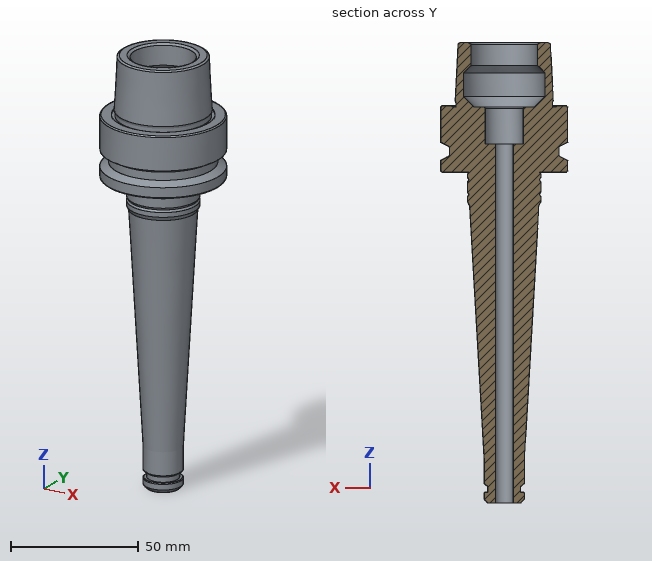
import cadquery as cq

total_height = 181.0

tip_diameter = 16.0
tip_groove_diameter = 13.0
tip_end_chamfer_height = 1.0
tip_ring_shoulder_z = 1.6
tip_ring_top_z = 4.3
tip_ring_bevel = 0.4
tip_groove_top_z = 6.5
tip_shoulder_z = 7.6
shank_start_z = 17.4

shank_top_diameter = 27.3
shank_top_z = 116.7
collar_diameter = 29.0
collar_groove_diameter = 27.9
collar_bottom_z = 118.4
collar_groove_centers = (121.3, 127.0)
collar_groove_width = 1.8
collar_top_bevel_z = 129.2

flange_diameter = 50.0
flange_bottom_z = 130.0
flange_top_z = 156.2
flange_chamfer = 0.5
gripper_groove_diameter = 43.0
gripper_bottom_z = 134.7
gripper_top_z = 141.7
gripper_flank_height = 1.8
face_recess_diameter = 40.7
face_recess_depth = 0.5

taper_top_diameter = 36.4
taper_ratio = 0.1
taper_bottom_z = 158.2
taper_root_diameter = 38.0
taper_root_z = 157.1
taper_rim_chamfer_height = 0.5
taper_rim_chamfer_width = 0.9

mouth_diameter = 28.5
bore_diameter = 26.0
mouth_chamfer_height = 0.7
bore_lip_depth = 9.0
undercut_diameter = 32.0
cavity_floor_diameter = 23.9
cavity_depth = 25.3
socket_mouth_diameter = 16.0
socket_diameter = 14.8
socket_depth = 14.5
through_diameter = 6.9


def revolve_profile(points):
    """Revolve a closed outline of (diameter, z) points about the Z axis."""
    outline = [(diameter / 2, z) for diameter, z in points]
    return cq.Workplane("XZ").polyline(outline).close().revolve(360, (0, 0), (0, 1))


def collar_groove(center_z):
    """Outline points of one V groove in the collar, from bottom to top."""
    return [
        (collar_diameter, center_z - collar_groove_width / 2),
        (collar_groove_diameter, center_z),
        (collar_diameter, center_z + collar_groove_width / 2),
    ]


tip = [
    (0, 0),
    (tip_groove_diameter, 0),
    (tip_diameter - 2 * tip_ring_bevel, tip_end_chamfer_height),
    (tip_diameter, tip_ring_shoulder_z),
    (tip_diameter, tip_ring_top_z - tip_ring_bevel),
    (tip_diameter - 2 * tip_ring_bevel, tip_ring_top_z),
    (tip_groove_diameter, tip_ring_top_z),
    (tip_groove_diameter, tip_groove_top_z),
    (tip_diameter, tip_shoulder_z),
    (tip_diameter, shank_start_z),
]

collar = [(shank_top_diameter, shank_top_z), (collar_diameter, collar_bottom_z)]
for groove_z in collar_groove_centers:
    collar += collar_groove(groove_z)
collar += [
    (collar_diameter, collar_top_bevel_z),
    (collar_groove_diameter, flange_bottom_z),
]

flange_edge_diameter = flange_diameter - 2 * flange_chamfer
flange = [
    (flange_edge_diameter, flange_bottom_z),
    (flange_diameter, flange_bottom_z + flange_chamfer),
    (flange_diameter, gripper_bottom_z),
    (gripper_groove_diameter, gripper_bottom_z + gripper_flank_height),
    (gripper_groove_diameter, gripper_top_z - gripper_flank_height),
    (flange_diameter, gripper_top_z),
    (flange_diameter, flange_top_z - flange_chamfer),
    (flange_edge_diameter, flange_top_z),
    (face_recess_diameter, flange_top_z),
    (face_recess_diameter, flange_top_z - face_recess_depth),
]

taper_bottom_diameter = taper_top_diameter + taper_ratio * (total_height - taper_bottom_z)
taper = [
    (taper_root_diameter, flange_top_z - face_recess_depth),
    (taper_root_diameter, taper_root_z),
    (taper_bottom_diameter, taper_bottom_z),
    (taper_top_diameter, total_height - taper_rim_chamfer_height),
    (taper_top_diameter - 2 * taper_rim_chamfer_width, total_height),
    (0, total_height),
]

lip_z = total_height - bore_lip_depth
cavity_floor_z = total_height - cavity_depth
undercut_top_z = lip_z - (undercut_diameter - bore_diameter) / 2
undercut_bottom_z = cavity_floor_z + (undercut_diameter - cavity_floor_diameter) / 2
socket_floor_z = cavity_floor_z - socket_depth
socket_chamfer = (socket_mouth_diameter - socket_diameter) / 2
bore = [
    (0, 0),
    (through_diameter, 0),
    (through_diameter, socket_floor_z),
    (socket_diameter, socket_floor_z),
    (socket_diameter, cavity_floor_z - socket_chamfer),
    (socket_mouth_diameter, cavity_floor_z),
    (cavity_floor_diameter, cavity_floor_z),
    (undercut_diameter, undercut_bottom_z),
    (undercut_diameter, undercut_top_z),
    (bore_diameter, lip_z),
    (bore_diameter, total_height - mouth_chamfer_height),
    (mouth_diameter, total_height),
    (0, total_height),
]

result = revolve_profile(tip + collar + flange + taper).cut(revolve_profile(bore))